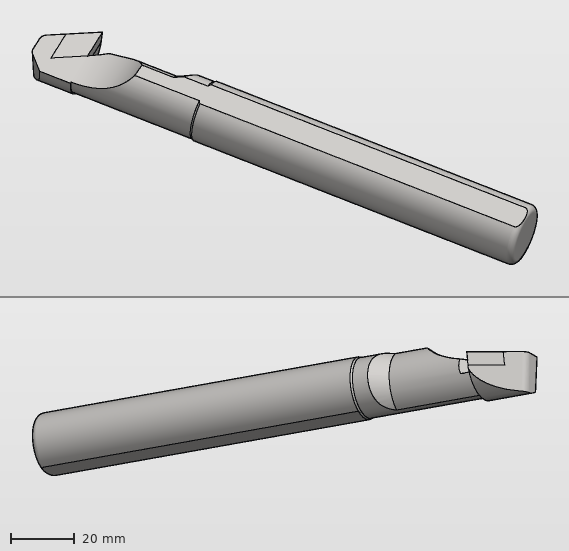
import cadquery as cq
import math

length = 170.0

shank_radius = 10.0
flat_height = 9.2
shank_start = 58.6
end_fillet = 2.0

neck_radius = 9.7
neck_end = 58.0

relief_radius = 11.4
relief_center_y = -5.3
relief_runout_start = 46.9
relief_runout_length = 5.8
relief_runout_shift = neck_radius - relief_center_y - relief_radius

head_length = 16.5
tip_y = 13.3
head_side_y = -shank_radius
head_radius = (tip_y - head_side_y) / 2
head_center_y = (tip_y + head_side_y) / 2
head_bottom = -11.4
head_center_z = head_bottom + head_radius
nose_back_y = -3.9
nose_bevel_length = 5.8
cutting_slope = 0.61
nose_front_y = tip_y - cutting_slope * head_length
nose_fillet = 2.9
front_relief = math.tan(math.radians(5.5))
side_relief = 0.23

rake_angle = -4.3
rake_height = 1.4
scoop_start = head_length
scoop_radius = 27.7

insert_front = 6.6
insert_corner_y = -3.5
insert_thickness = 4.2

margin = 34.0


def on_rake(tool):
    """Move a tool drawn relative to the XY plane onto the tilted rake plane."""
    return tool.rotate((0, 0, 0), (1, 0, 0), rake_angle).translate((0, 0, rake_height))


def rake_height_at(y):
    """Height of the rake plane at a given Y."""
    return rake_height + y * math.tan(math.radians(rake_angle))


def make_bar():
    """Turned neck and shank with two clamping flats."""
    bar = (
        cq.Workplane("XY")
        .moveTo(head_length, 0)
        .lineTo(head_length, neck_radius)
        .lineTo(neck_end, neck_radius)
        .lineTo(shank_start, shank_radius)
        .lineTo(length, shank_radius)
        .lineTo(length, 0)
        .close()
        .revolve(360, (0, 0, 0), (1, 0, 0))
        .faces(">X").edges().fillet(end_fillet)
    )
    top_trim = cq.Workplane("XY").box(2 * length, margin, margin, centered=(True, True, False))
    bar = bar.cut(top_trim.translate((0, 0, flat_height)))
    bottom_trim = top_trim.translate((length + shank_start, 0, -flat_height - margin))
    return bar.cut(bottom_trim)


def make_neck_relief():
    """Material outside the relief cylinder, including its slanted run-out."""
    runout_end = relief_runout_start + relief_runout_length
    straight = (
        cq.Workplane("YZ", origin=(0, relief_center_y, 0))
        .circle(relief_radius).extrude(relief_runout_start)
    )
    runout = (
        cq.Workplane("YZ", origin=(relief_runout_start, relief_center_y, 0))
        .circle(relief_radius)
        .workplane(offset=relief_runout_length)
        .center(relief_runout_shift, 0)
        .circle(relief_radius)
        .loft(ruled=True)
    )
    outer = cq.Workplane("XY").box(runout_end, margin, margin, centered=(False, False, True))
    return outer.cut(straight).cut(runout)


def head_outline(z):
    """Corners of the head's plan outline at height z; its cutting sides recede downward."""
    front = front_relief * (rake_height_at(nose_back_y) - z)
    side = side_relief * (rake_height_at(tip_y) - z)
    bevel_slope = (nose_back_y - head_side_y) / nose_bevel_length
    return [
        (front, nose_front_y + cutting_slope * front - side),
        (front, nose_back_y - bevel_slope * front),
        (nose_bevel_length, head_side_y),
        (head_length, head_side_y),
        (head_length, tip_y - side),
    ]


def make_head():
    """Head block with relieved cutting sides and a round underside."""
    block_bottom = head_bottom - 1.7
    block_top = flat_height
    block = (
        cq.Workplane("XY").workplane(offset=block_bottom)
        .polyline(head_outline(block_bottom)).close()
        .workplane(offset=block_top - block_bottom)
        .polyline(head_outline(block_top)).close()
        .loft(ruled=True)
        .faces("<X").edges("not |Y").fillet(nose_fillet)
    )
    section = (
        cq.Workplane("YZ", origin=(-margin, 0, 0))
        .moveTo(head_side_y, margin)
        .lineTo(head_side_y, head_center_z)
        .threePointArc((head_center_y, head_bottom), (tip_y, head_center_z))
        .lineTo(tip_y, margin)
        .close()
        .extrude(2 * margin)
    )
    return block.intersect(section)


def make_scoop():
    """Everything above the rake face and the arc that rises from it."""
    scoop = (
        cq.Workplane("XZ", origin=(0, margin, 0))
        .moveTo(-margin, 0)
        .lineTo(scoop_start, 0)
        .radiusArc((scoop_start + scoop_radius, scoop_radius), -scoop_radius)
        .lineTo(-margin, scoop_radius)
        .close()
        .extrude(2 * margin)
    )
    return on_rake(scoop)


def make_pocket():
    """Insert seat, open toward +Y and +X beyond the slanted wall."""
    pocket_end = insert_front + margin
    pocket = (
        cq.Workplane("XY").workplane(offset=-insert_thickness)
        .moveTo(insert_front, insert_corner_y)
        .lineTo(pocket_end, insert_corner_y + cutting_slope * margin)
        .lineTo(insert_front, insert_corner_y + cutting_slope * margin)
        .close()
        .extrude(insert_thickness + margin)
    )
    return on_rake(pocket)


scoop = make_scoop()
pocket = make_pocket()
head = make_head()
neck_and_shank = make_bar().cut(make_neck_relief())

holder = neck_and_shank.union(head).cut(scoop).cut(pocket)
insert = head.intersect(pocket).cut(scoop)

result = cq.Compound.makeCompound([holder.val(), insert.val()])